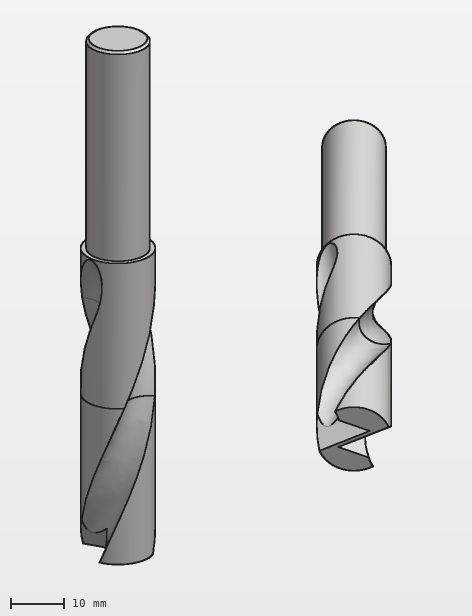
import cadquery as cq
import math

total_length = 105.0
cutter_diameter = 14.0
shank_diameter = 12.0
shank_chamfer = 0.5
cutting_head_length = 32.0
full_diameter_length = 62.0

flute_count = 2
flute_lead = 105.0
flute_length = 50.9
flute_tip_angle = 272.0
flute_core_radius = 3.5
flute_profile_radius = 4.7
runout_length = 12.6
runout_bend_radius = 23.1

gash_floor_point = (-4.8, -5.0, 0)
gash_floor_normal = (8, -8.5, -6.6)
gash_wall_offset = 2.7
gash_wall_lean = 9.0

cutter_radius = cutter_diameter / 2
flute_center_radius = flute_core_radius + flute_profile_radius
flute_twist = 360 * flute_length / flute_lead
flute_pitch_angle = 360 / flute_count
tool_size = 3 * cutter_diameter


def make_helical_flute():
    """Circular profile twisted about Z, starting at the tip."""
    return (
        cq.Workplane("XY")
        .pushPoints([(flute_center_radius, 0)])
        .circle(flute_profile_radius)
        .twistExtrude(flute_length, flute_twist)
        .rotate((0, 0, 0), (0, 0, 1), flute_tip_angle)
    )


def make_flute_runout():
    """Continue the flute along its tangent while bending away from the axis."""
    tangent_slope = 2 * math.pi * flute_center_radius / flute_lead
    path_length_per_height = math.hypot(1, tangent_slope)
    bend_angle = math.asin(runout_length * path_length_per_height / runout_bend_radius)

    def path_point(angle):
        height = runout_bend_radius * math.sin(angle) / path_length_per_height
        outward = runout_bend_radius * (1 - math.cos(angle))
        return (flute_center_radius + outward, tangent_slope * height, flute_length + height)

    path_points = [cq.Vector(*path_point(fraction * bend_angle)) for fraction in (0, 0.5, 1)]
    path = cq.Workplane(cq.Wire.assembleEdges([cq.Edge.makeThreePointArc(*path_points)]))
    return (
        cq.Workplane("XY", origin=(0, 0, flute_length))
        .pushPoints([(flute_center_radius, 0)])
        .circle(flute_profile_radius)
        .sweep(path)
        .rotate((0, 0, 0), (0, 0, 1), flute_tip_angle + flute_twist)
    )


def make_end_gash():
    """Space outside the inclined floor and on the -X side of the tooth wall."""
    floor_plane = cq.Plane(origin=gash_floor_point, normal=gash_floor_normal)
    beyond_floor = cq.Workplane(floor_plane).rect(tool_size, tool_size).extrude(tool_size)
    beside_wall = (
        cq.Workplane("XY")
        .box(tool_size, tool_size, tool_size, centered=(False, True, True))
        .translate((gash_wall_offset - tool_size, 0, 0))
        .rotate((gash_wall_offset, 0, 0), (gash_wall_offset, 1, 0), -gash_wall_lean)
    )
    return beyond_floor.intersect(beside_wall)


def cut_around(body, tool):
    """Cut one copy of the tool for every flute."""
    for index in range(flute_count):
        body = body.cut(tool.rotate((0, 0, 0), (0, 0, 1), index * flute_pitch_angle))
    return body


def make_cutting_head():
    head = cq.Workplane("XY").circle(cutter_radius).extrude(cutting_head_length)
    head = cut_around(head, make_helical_flute())
    return cut_around(head, make_end_gash())


def make_shank():
    shank = (
        cq.Workplane("XY", origin=(0, 0, cutting_head_length))
        .circle(cutter_radius)
        .extrude(full_diameter_length - cutting_head_length)
        .faces(">Z")
        .workplane()
        .circle(shank_diameter / 2)
        .extrude(total_length - full_diameter_length)
        .faces(">Z")
        .chamfer(shank_chamfer)
    )
    shank = cut_around(shank, make_helical_flute())
    return cut_around(shank, make_flute_runout())


cutting_head = make_cutting_head()
shank = make_shank()

result = cq.Compound.makeCompound([cutting_head.val(), shank.val()])